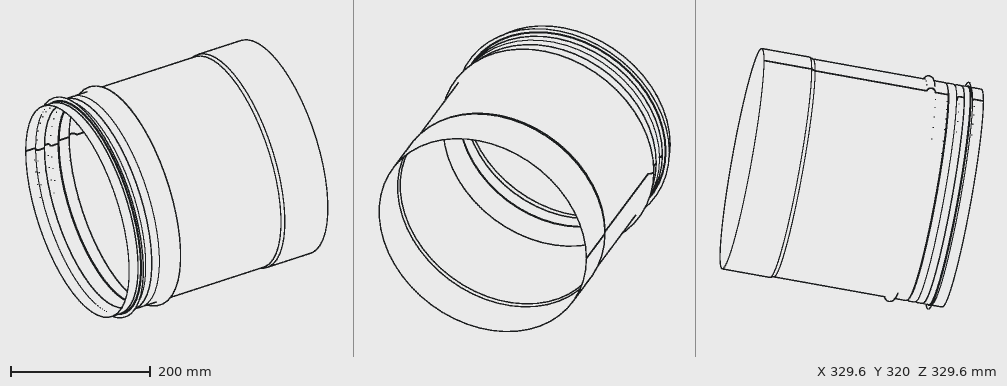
import cadquery as cq
import math

length = 320.0
wall = 0.5
pipe_radius = 316.7 / 2

socket_radius = 160.2
socket_length = 69.5
cone_length = 5.3

bead_y = 76.5
bead_radius = 6.3
bead_height = 5.5
bead_bend = 1.0

recess_floor_radius = 152.3
recess_bend = 2.3
floor_bend = 1.0
seal_recess_y = 21.5
seal_recess_width = 12.0
band_recess_y = 44.2
band_recess_width = 13.2

slit_width = 1.0

seal_corner = 1.5
lip_radius = 164.8
lip_thickness = 0.5
lip_y = 19.0
lip_root_height = 1.3
lip_root_width = 1.0

band_gap = 1.3
band_corner = 2.0


def revolve_about_axis(profile):
    return profile.close().revolve(360, (0, 0, 0), (0, 1, 0))


def bend(profile, center_r, center_y, radius, start_angle, end_angle, joined=False):
    """Add an arc, with a line up to its start unless it is joined to the last arc.

    Angles are in degrees, 0 pointing away from the axis and 90 toward +Y.
    """
    def point(angle):
        turn = math.radians(angle)
        return (-center_r - radius * math.cos(turn), center_y + radius * math.sin(turn))

    if not joined:
        profile = profile.lineTo(*point(start_angle))
    middle_angle = (start_angle + end_angle) / 2
    return profile.threePointArc(point(middle_angle), point(end_angle))


def add_recess(profile, center_y, width, inset):
    bend_r = pipe_radius - recess_bend
    bend_offset = width / 2 + recess_bend
    floor_bend_r = recess_floor_radius + floor_bend
    floor_bend_offset = width / 2 - floor_bend
    outer_bend = recess_bend - inset
    inner_bend = floor_bend + inset
    profile = bend(profile, bend_r, center_y - bend_offset, outer_bend, 0, 90)
    profile = bend(profile, floor_bend_r, center_y - floor_bend_offset, inner_bend, 270, 180)
    profile = bend(profile, floor_bend_r, center_y + floor_bend_offset, inner_bend, 180, 90)
    return bend(profile, bend_r, center_y + bend_offset, outer_bend, -90, 0)


def add_bead(profile, inset):
    bead_r = pipe_radius + bead_height - bead_radius
    bend_r = pipe_radius + bead_bend
    tilt = math.degrees(math.acos((bend_r - bead_r) / (bead_radius + bead_bend)))
    bend_offset = (bead_radius + bead_bend) * math.sin(math.radians(tilt))
    bend_radius = bead_bend + inset
    profile = bend(profile, bend_r, bead_y - bend_offset, bend_radius, 180, 180 - tilt)
    profile = bend(profile, bead_r, bead_y, bead_radius - inset, -tilt, tilt, joined=True)
    return bend(profile, bend_r, bead_y + bend_offset, bend_radius, 180 + tilt, 180, joined=True)


def pipe_body(inset):
    """Solid of revolution with the pipe's outside shape, shrunk by inset."""
    cone_top = length - socket_length
    profile = cq.Workplane("XY").moveTo(0, 0).lineTo(-pipe_radius + inset, 0)
    profile = add_recess(profile, seal_recess_y, seal_recess_width, inset)
    profile = add_recess(profile, band_recess_y, band_recess_width, inset)
    profile = add_bead(profile, inset)
    profile = profile.lineTo(-pipe_radius + inset, cone_top - cone_length)
    profile = profile.lineTo(-socket_radius + inset, cone_top)
    profile = profile.lineTo(-socket_radius + inset, length).lineTo(0, length)
    return revolve_about_axis(profile)


def make_pipe():
    slit_depth = pipe_radius + bead_height
    slit = cq.Workplane("XY").box(slit_depth, length, slit_width, centered=(False, False, True))
    return pipe_body(0).cut(pipe_body(wall)).cut(slit.translate((-slit_depth, 0, 0)))


def make_ring(center_y, width, corner):
    """Ring that rests on a recess floor and ends flush with the pipe's outer surface."""
    corner_r = pipe_radius - corner
    corner_offset = width / 2 - corner
    base_r = recess_floor_radius + floor_bend
    base_offset = width / 2 - floor_bend
    profile = cq.Workplane("XY").moveTo(-corner_r, center_y - width / 2)
    profile = bend(profile, corner_r, center_y - corner_offset, corner, -90, 0, joined=True)
    profile = bend(profile, corner_r, center_y + corner_offset, corner, 0, 90)
    profile = bend(profile, base_r, center_y + base_offset, floor_bend, 90, 180)
    profile = bend(profile, base_r, center_y - base_offset, floor_bend, 180, 270)
    return revolve_about_axis(profile)


def make_seal():
    lip_base_r = pipe_radius - seal_corner
    lip_back = lip_y + lip_thickness
    lip = revolve_about_axis(
        cq.Workplane("XY")
        .moveTo(-lip_base_r, lip_y - lip_root_width)
        .lineTo(-pipe_radius, lip_y - lip_root_width)
        .lineTo(-pipe_radius - lip_root_height, lip_y)
        .lineTo(-lip_radius, lip_y)
        .lineTo(-lip_radius, lip_back)
        .lineTo(-lip_base_r, lip_back)
    )
    return make_ring(seal_recess_y, seal_recess_width, seal_corner).union(lip)


def make_band():
    return make_ring(band_recess_y, band_recess_width - 2 * band_gap, band_corner)


pipe = make_pipe()
seal = make_seal()
band = make_band()

result = cq.Compound.makeCompound([pipe.val(), seal.val(), band.val()])